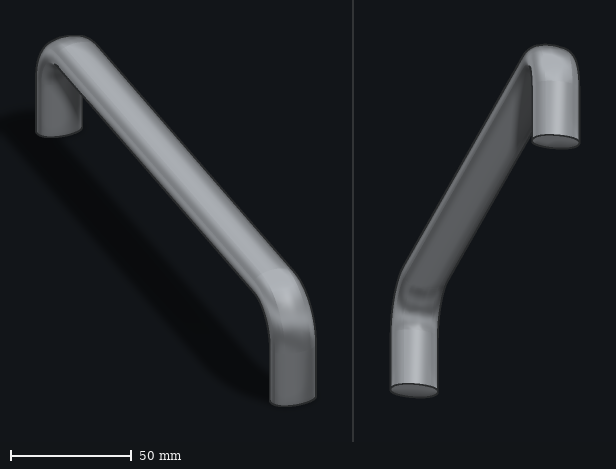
import cadquery as cq
import math

length = 263.0
height = 51.0
bend_radius = 19.7

bar_width = 20.0
bar_thickness = 13.0
face_radius = 17.4
face_join_y = 5.8
edge_radius = 5.5
edge_join_x = 3.0

half_width = bar_width / 2
half_thickness = bar_thickness / 2


def arc_drop(radius, offset):
    """How far an arc falls below its crown at an offset from the crown."""
    return radius - math.sqrt(radius**2 - offset**2)


face_join_x = half_thickness - arc_drop(face_radius, face_join_y)
edge_join_y = half_width - arc_drop(edge_radius, edge_join_x)

face_join_angle = math.asin(face_join_y / face_radius)
normal_x = math.cos(face_join_angle)
normal_y = math.sin(face_join_angle)
chord_x = edge_join_x - face_join_x
chord_y = edge_join_y - face_join_y
corner_radius = -(chord_x**2 + chord_y**2) / (2 * (chord_x * normal_x + chord_y * normal_y))
corner_centre_x = face_join_x - corner_radius * normal_x
corner_centre_y = face_join_y - corner_radius * normal_y
edge_join_angle = math.atan2(edge_join_y - corner_centre_y, edge_join_x - corner_centre_x)
corner_mid_angle = (face_join_angle + edge_join_angle) / 2
corner_mid_x = corner_centre_x + corner_radius * math.cos(corner_mid_angle)
corner_mid_y = corner_centre_y + corner_radius * math.sin(corner_mid_angle)

leg_x = (length - bar_thickness) / 2
grip_z = height - half_thickness
bend_z = grip_z - bend_radius
bend_x = leg_x - bend_radius
bend_mid = bend_radius * math.sqrt(0.5)


def make_section():
    """Closed oval section at the foot of the left leg."""
    return (
        cq.Workplane("XY", origin=(-leg_x, 0, 0))
        .moveTo(face_join_x, -face_join_y)
        .threePointArc((half_thickness, 0), (face_join_x, face_join_y))
        .threePointArc((corner_mid_x, corner_mid_y), (edge_join_x, edge_join_y))
        .threePointArc((0, half_width), (-edge_join_x, edge_join_y))
        .threePointArc((-corner_mid_x, corner_mid_y), (-face_join_x, face_join_y))
        .threePointArc((-half_thickness, 0), (-face_join_x, -face_join_y))
        .threePointArc((-corner_mid_x, -corner_mid_y), (-edge_join_x, -edge_join_y))
        .threePointArc((0, -half_width), (edge_join_x, -edge_join_y))
        .threePointArc((corner_mid_x, -corner_mid_y), (face_join_x, -face_join_y))
        .close()
    )


def make_centre_line():
    """Up the left leg, across the grip and down the right leg."""
    return (
        cq.Workplane("XZ")
        .moveTo(-leg_x, 0)
        .lineTo(-leg_x, bend_z)
        .threePointArc((-bend_x - bend_mid, bend_z + bend_mid), (-bend_x, grip_z))
        .lineTo(bend_x, grip_z)
        .threePointArc((bend_x + bend_mid, bend_z + bend_mid), (leg_x, bend_z))
        .lineTo(leg_x, 0)
    )


result = make_section().sweep(make_centre_line())